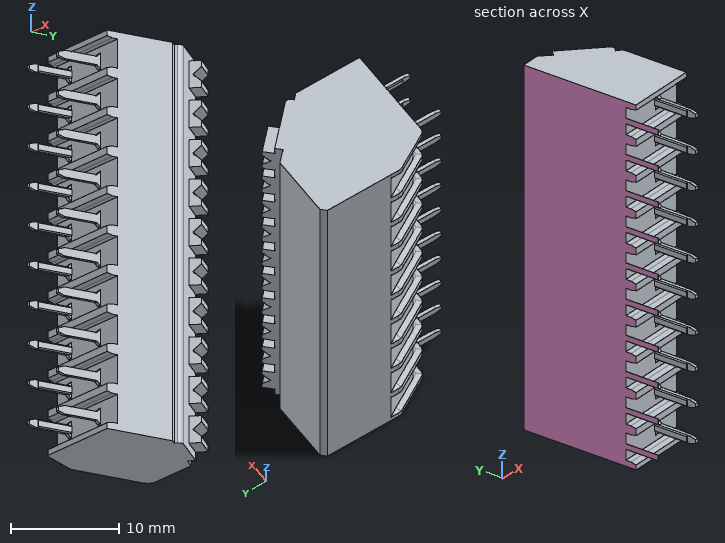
import cadquery as cq
import math


width = 12.7
body_depth = 12.95
height = 38.5
pole_count = 10
pole_pitch = 3.8

slant_start = 4.15
slant_angle = 30.0
slant_run = slant_start * math.tan(math.radians(slant_angle))
side_round = 1.0
front_round = 0.55
back_chamfer = 0.5

slope_size = 5.75
band_start = 1.55
band_end = 7.35
band_height = 0.77
band_round = 0.45

pocket_depth = 1.15
rib_tip = 0.75
rib_bevel = 0.135
rib_bevel_inset = 0.58

button_length = 3.0
button_height = 1.2
button_width = 2.6
groove_width = 1.42
groove_depth = 0.8

pin_centers = (4.6, 9.62)
pin_thickness = 0.4
pin_width = 0.8
pin_reach = 3.45
pin_taper = 0.65
pin_tip_width = 0.42
pin_root_width = 1.6
pin_root_length = 0.42
pad_height = 0.1
pad_reach = 2.5

slope_x = width - slope_size
slope_y = body_depth - slope_size
first_pole = -pole_pitch * (pole_count - 1) / 2
pole_heights = [first_pole + i * pole_pitch for i in range(pole_count)]
rib_heights = [first_pole + (i - 0.5) * pole_pitch for i in range(pole_count + 1)]

slope_plane = cq.Plane(origin=(slope_x, body_depth, 0), xDir=(1, -1, 0), normal=(0, 0, 1))


def prism(points, bottom, thickness):
    """Extrude an XY polygon upward from the given height."""
    return cq.Workplane("XY").workplane(offset=bottom).polyline(points).close().extrude(thickness)


def make_housing():
    """Housing filled out to the full outline, without pockets."""
    outline = [
        (0, slant_start),
        (slant_run, 0),
        (width, 0),
        (width, slope_y),
        (slope_x, body_depth),
        (0, body_depth),
    ]
    housing = prism(outline, -height / 2, height)
    housing = housing.edges(cq.selectors.NearestToPointSelector((0, slant_start, 0))).fillet(side_round)
    housing = housing.edges(cq.selectors.NearestToPointSelector((slant_run, 0, 0))).fillet(front_round)
    housing = housing.edges("<X and >Y").chamfer(back_chamfer)
    return housing


def make_band():
    """Raised band on the slope, rounded at its lower end."""
    band_length = band_end - band_start
    band = (
        cq.Workplane(slope_plane)
        .center((band_start + band_end) / 2, 0)
        .rect(band_length, 2 * band_height)
        .extrude(height / 2, both=True)
    )
    lower_edge = slope_plane.toWorldCoords((band_end, band_height, 0))
    return band.edges(cq.selectors.NearestToPointSelector(lower_edge.toTuple())).fillet(band_round)


def make_core():
    """Region behind the pocket floors."""
    slope_rate = slant_run / slant_start
    overhang = 0.4
    floor_outline = [
        (-overhang, slant_start + pocket_depth + overhang / slope_rate),
        (slant_run, pocket_depth),
        (width, pocket_depth),
        (width, body_depth),
        (-overhang, body_depth),
    ]
    return prism(floor_outline, -height / 2, height)


def make_rib(center_height):
    """Rib between two pockets, bevelled on both sides along its left and front edges."""
    right = width + rib_bevel_inset
    rib_outline = [
        (0, slant_start),
        (slant_run, 0),
        (right, 0),
        (right, body_depth / 2),
        (0, body_depth / 2),
    ]
    bevel_angle = math.degrees(math.atan2(rib_bevel_inset, rib_bevel))
    rib = prism(rib_outline, center_height - rib_tip / 2, rib_tip)
    for side in (1, -1):
        cap = (
            cq.Workplane("XY")
            .workplane(offset=center_height + side * rib_tip / 2)
            .polyline(rib_outline)
            .close()
            .extrude(side * rib_bevel, taper=bevel_angle)
        )
        rib = rib.union(cap)
    return rib


def make_button(center_height):
    """Button standing on the raised band, with a V groove along the slope."""
    half_width = button_width / 2
    half_groove = groove_width / 2
    top = band_height + button_height
    section = [
        (0, -half_width),
        (top, -half_width),
        (top, -half_groove),
        (top - groove_depth, 0),
        (top, half_groove),
        (top, half_width),
        (0, half_width),
    ]
    origin = slope_plane.toWorldCoords((band_start, 0, 0)) + cq.Vector(0, 0, center_height)
    section_plane = cq.Plane(origin=origin.toTuple(), xDir=(1, 1, 0), normal=(1, -1, 0))
    return cq.Workplane(section_plane).polyline(section).close().extrude(button_length)


def make_pin(center_x, pad_side, center_height):
    """Flat pin with a flared root, a tapered tip and a bevelled pad on one face."""
    upper_half = [
        (pocket_depth, pin_root_width / 2),
        (pocket_depth - pin_root_length, pin_width / 2),
        (pin_taper - pin_reach, pin_width / 2),
        (-pin_reach, pin_tip_width / 2),
    ]
    lower_half = [(y, -z) for y, z in reversed(upper_half)]
    blade = (
        cq.Workplane("YZ", origin=(center_x, 0, center_height))
        .polyline(upper_half + lower_half)
        .close()
        .extrude(pin_thickness / 2, both=True)
    )
    face = pad_side * pin_thickness / 2
    pad_face = face + pad_side * pad_height
    pad_section = [
        (face, -pin_width / 2),
        (pad_face, pad_height - pin_width / 2),
        (pad_face, pin_width / 2 - pad_height),
        (face, pin_width / 2),
    ]
    pad = (
        cq.Workplane("XZ", origin=(center_x, pocket_depth, center_height))
        .polyline(pad_section)
        .close()
        .extrude(pocket_depth + pad_reach)
    )
    return blade.union(pad)


block = make_core()
for rib_height in rib_heights:
    block = block.union(make_rib(rib_height))
result = make_housing().intersect(block).union(make_band())

for pole_height in pole_heights:
    result = result.union(make_button(pole_height))
    result = result.union(make_pin(pin_centers[0], 1, pole_height))
    result = result.union(make_pin(pin_centers[1], -1, pole_height))